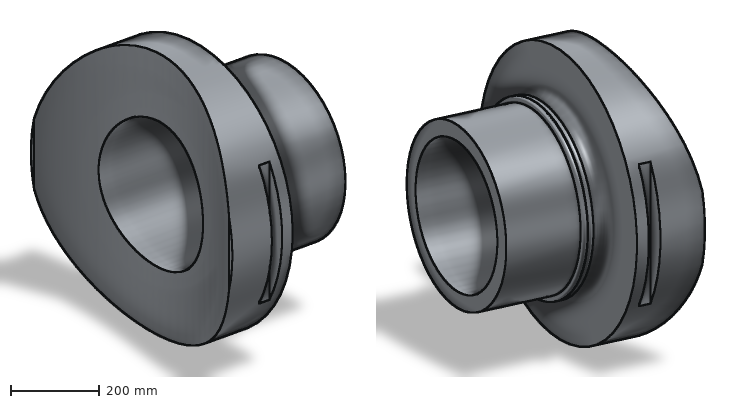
import cadquery as cq
import math

flange_radius = 355.0
flange_height = 179.0
total_length = 446.0
pipe_radius = 224.5
bore_radius = 184.0
fillet_radius = 28.0

saddle_half_width = 343.5
saddle_depth = 79.0

slot_bottom_x = 309.5
slot_start = 117.0
slot_width = 30.5

bead_start = 222.0
bead_edge_radius = 231.5
round_radius = 7.0
round_count = 2


def revolve_around_y(profile):
    return profile.close().revolve(360, (0, 0, 0), (0, 1, 0))


def make_body():
    """Flange and pipe, joined by a concave fillet."""
    fillet_center_x = pipe_radius + fillet_radius
    fillet_center_y = flange_height + fillet_radius
    fillet_reach = fillet_radius * math.sqrt(0.5)
    fillet_middle = (fillet_center_x - fillet_reach, fillet_center_y - fillet_reach)
    return revolve_around_y(
        cq.Workplane("XY")
        .lineTo(flange_radius, 0)
        .lineTo(flange_radius, flange_height)
        .lineTo(fillet_center_x, flange_height)
        .threePointArc(fillet_middle, (pipe_radius, fillet_center_y))
        .lineTo(pipe_radius, total_length)
        .lineTo(0, total_length)
    )


def make_bead():
    """Ring whose rim is two half rounds side by side, meeting in a valley."""
    crest_radius = bead_edge_radius + round_radius
    profile = (
        cq.Workplane("XY")
        .moveTo(bore_radius, bead_start)
        .lineTo(bead_edge_radius, bead_start)
    )
    for index in range(round_count):
        round_start = bead_start + index * 2 * round_radius
        profile = profile.threePointArc(
            (crest_radius, round_start + round_radius),
            (bead_edge_radius, round_start + 2 * round_radius),
        )
    bead_end = bead_start + round_count * 2 * round_radius
    return revolve_around_y(profile.lineTo(bore_radius, bead_end))


def make_saddle_cut():
    """Cylindrical segment, parallel to Z, that hollows the flange underside."""
    return (
        cq.Workplane("XY")
        .moveTo(-saddle_half_width, 0)
        .threePointArc((0, saddle_depth), (saddle_half_width, 0))
        .close()
        .extrude(flange_radius, both=True)
    )


def make_slot(side):
    """Straight slot across one side of the flange; side is -1 or 1."""
    depth = flange_radius - slot_bottom_x
    return cq.Workplane("XY").box(depth, slot_width, 2 * flange_radius).translate(
        (side * (slot_bottom_x + depth / 2), slot_start + slot_width / 2, 0)
    )


def make_bore():
    return cq.Workplane("XZ").circle(bore_radius).extrude(-total_length)


result = make_body().union(make_bead()).cut(make_saddle_cut()).cut(make_bore())
for side in (-1, 1):
    result = result.cut(make_slot(side))